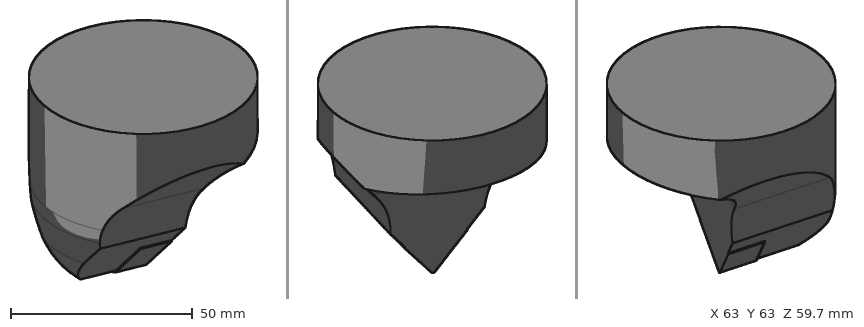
import cadquery as cq
import math

shank_radius = 31.5
shank_end_z = -31.75
cone_start_radius = 31.25
cone_start_z = -36.15
cone_end_radius = 29.55
cone_end_z = -44.95
nose_mid_radius = 27.65
nose_mid_z = -49.5
nose_end_radius = 22.55
nose_end_z = -55.8
blank_tip_radius = 17.0
blank_bottom_z = -61.1

tilt = 7.5
tip_y = 0.55
tip_z = -59.7
roof_slope = 7.0
roof_rim_z = -16.45
roof_fillet = 9.15

flank_angle = 40.0
shoulder_half_width = 20.85
shoulder_height = -26.75
neck_half_width = 15.05
neck_height = -41.25
body_nose_radius = 1.2

insert_half_width = 10.0
insert_nose_radius = 0.75
insert_depth = 11.0

clearance = 37.8

tilt_sin = math.sin(math.radians(tilt))
tilt_cos = math.cos(math.radians(tilt))
flank_sin = math.sin(math.radians(flank_angle))
flank_cos = math.cos(math.radians(flank_angle))
flank_tan = flank_sin / flank_cos
tip_height = tip_y * tilt_sin + tip_z * tilt_cos
rake_offset = tip_y * tilt_cos - tip_z * tilt_sin


def turned_blank():
    """Round shank that tapers and curves in towards the nose."""
    return (
        cq.Workplane("XZ")
        .lineTo(shank_radius, 0)
        .lineTo(shank_radius, shank_end_z)
        .tangentArcPoint((cone_start_radius, cone_start_z), relative=False)
        .lineTo(cone_end_radius, cone_end_z)
        .threePointArc((nose_mid_radius, nose_mid_z), (nose_end_radius, nose_end_z))
        .lineTo(blank_tip_radius, blank_bottom_z)
        .lineTo(0, blank_bottom_z)
        .close()
        .revolve(360, (0, 0, 0), (0, 1, 0))
    )


def rake_cutter():
    """Space in front of the rake face and below the sloping roof."""
    face_run = math.tan(math.radians(tilt))
    roof_run = math.tan(math.radians(roof_slope))
    roof_axis_z = roof_rim_z - shank_radius * roof_run
    corner_y = (tip_y + (roof_axis_z - tip_z) * face_run) / (1 - roof_run * face_run)
    corner_z = roof_axis_z + corner_y * roof_run
    floor_z = blank_bottom_z - clearance
    floor_y = tip_y + (floor_z - tip_z) * face_run
    return (
        cq.Workplane("YZ", origin=(-clearance, 0, 0))
        .moveTo(corner_y, corner_z)
        .lineTo(clearance, roof_axis_z + clearance * roof_run)
        .lineTo(clearance, floor_z)
        .lineTo(floor_y, floor_z)
        .close()
        .extrude(2 * clearance)
        .edges(cq.selectors.NearestToPointSelector((0, corner_y, corner_z)))
        .fillet(roof_fillet)
    )


def tilted_plane(offset):
    """Plane parallel to the rake face; its local Y runs up the face."""
    return cq.Workplane(
        cq.Plane(
            origin=(0, offset * tilt_cos, -offset * tilt_sin),
            xDir=(1, 0, 0),
            normal=(0, -tilt_cos, tilt_sin),
        )
    )


def flank_prism():
    """Shank-wide top, concave necks and a rounded V point."""
    top_half_width = 2 * clearance
    top_height = shoulder_height + (top_half_width - shoulder_half_width) / flank_tan
    nose_half_width = body_nose_radius * flank_cos
    nose_height = neck_height - (neck_half_width - nose_half_width) / flank_tan
    nose_bottom = nose_height - body_nose_radius * (1 - flank_sin)
    chord_x = shoulder_half_width - neck_half_width
    chord_y = shoulder_height - neck_height
    sag_ratio = math.tan(math.radians(flank_angle / 4)) / 2
    mid_x = (shoulder_half_width + neck_half_width) / 2 - chord_y * sag_ratio
    mid_y = (shoulder_height + neck_height) / 2 + chord_x * sag_ratio
    return (
        tilted_plane(clearance)
        .moveTo(-top_half_width, top_height)
        .lineTo(-shoulder_half_width, shoulder_height)
        .threePointArc((-mid_x, mid_y), (-neck_half_width, neck_height))
        .lineTo(-nose_half_width, nose_height)
        .threePointArc((0, nose_bottom), (nose_half_width, nose_height))
        .lineTo(neck_half_width, neck_height)
        .threePointArc((mid_x, mid_y), (shoulder_half_width, shoulder_height))
        .lineTo(top_half_width, top_height)
        .close()
        .extrude(3 * clearance)
    )


def cutting_insert():
    """Pointed plate standing slightly proud of the body flanks."""
    nose_half_width = insert_nose_radius * flank_cos
    nose_height = tip_height + insert_nose_radius * (1 - flank_sin)
    corner_height = nose_height + (insert_half_width - nose_half_width) / flank_tan
    return (
        tilted_plane(rake_offset)
        .moveTo(-insert_half_width, neck_height)
        .lineTo(-insert_half_width, corner_height)
        .lineTo(-nose_half_width, nose_height)
        .threePointArc((0, tip_height), (nose_half_width, nose_height))
        .lineTo(insert_half_width, corner_height)
        .lineTo(insert_half_width, neck_height)
        .close()
        .extrude(insert_depth)
    )


body = turned_blank().intersect(flank_prism()).cut(rake_cutter())
result = body.union(cutting_insert())